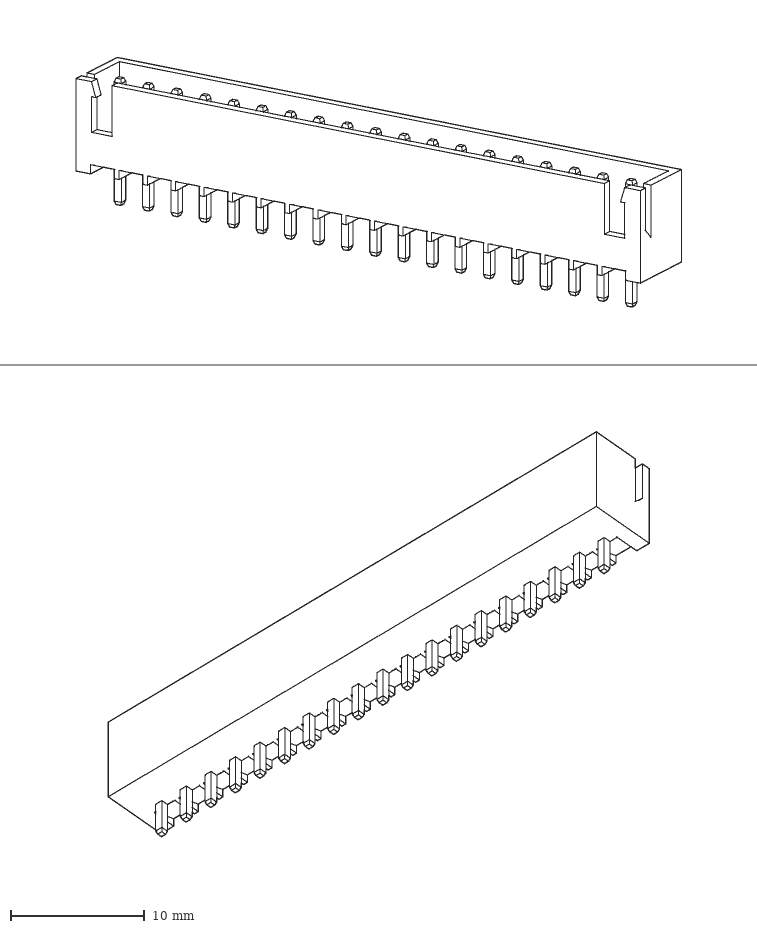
import cadquery as cq

PIN_COUNT = 19
PIN_PITCH = 2.5
PIN_WIDTH = 0.64
PIN_TAIL = 2.91
PIN_TOP_GAP = 0.24
PIN_TIP_HEIGHT = 0.3
PIN_TIP_INSET = 0.11

BODY_LENGTH = 49.67
BODY_DEPTH = 5.84
BODY_HEIGHT = 7.3
PIN_TO_FRONT = 2.47
LONG_WALL = 0.77
END_WALL = 0.67
FLOOR = 1.6

WINDOW_END_GAP = 1.37
WINDOW_WIDTH = 1.8
WINDOW_DEPTH = 4.0
BARB_HEIGHT = 1.2
BARB_REACH = 0.37

SLOT_WIDTH = 0.77
SLOT_DEPTH = 4.15

RELIEF_WIDTH = 2.1
RELIEF_FRONT_HEIGHT = 0.73
RELIEF_REAR_HEIGHT = 0.1

FRONT_Y = -PIN_TO_FRONT
BACK_Y = FRONT_Y + BODY_DEPTH
END_X = BODY_LENGTH / 2
PIN_POSITIONS = [(i - (PIN_COUNT - 1) / 2) * PIN_PITCH for i in range(PIN_COUNT)]


def box(x_min, x_max, y_min, y_max, z_min, z_max):
    """Axis-aligned block between the given limits."""
    size = (x_max - x_min, y_max - y_min, z_max - z_min)
    return cq.Workplane("XY").box(*size, centered=False).translate((x_min, y_min, z_min))


def both_ends(left_shape):
    """The left-hand shape joined with its mirror image at the right-hand end."""
    return left_shape.union(left_shape.mirror("YZ"))


def make_shell():
    """Open-topped rectangular tray."""
    outer = box(-END_X, END_X, FRONT_Y, BACK_Y, 0, BODY_HEIGHT)
    inner_x = END_X - END_WALL
    cavity = box(-inner_x, inner_x, FRONT_Y + LONG_WALL, BACK_Y - LONG_WALL, FLOOR, BODY_HEIGHT)
    return outer.cut(cavity)


def make_windows():
    """Rectangular openings from the rim down, through the front wall near each end."""
    x_min = -END_X + WINDOW_END_GAP
    x_max = x_min + WINDOW_WIDTH
    z_min = BODY_HEIGHT - WINDOW_DEPTH
    return both_ends(box(x_min, x_max, FRONT_Y, FRONT_Y + LONG_WALL, z_min, BODY_HEIGHT))


def make_barbs():
    """Latch barbs on the outer edge of each window, growing from the rim down to a flat ledge."""
    edge_x = -END_X + WINDOW_END_GAP
    ledge_z = BODY_HEIGHT - BARB_HEIGHT
    barb = (
        cq.Workplane("XZ", origin=(0, FRONT_Y, 0))
        .moveTo(edge_x, BODY_HEIGHT)
        .lineTo(edge_x + BARB_REACH, ledge_z)
        .lineTo(edge_x, ledge_z)
        .close()
        .extrude(-LONG_WALL)
    )
    return both_ends(barb)


def make_end_slots():
    """Vertical slots through both end walls, just behind the front wall."""
    y_min = FRONT_Y + LONG_WALL
    y_max = y_min + SLOT_WIDTH
    z_rear = BODY_HEIGHT - SLOT_DEPTH
    slot = (
        cq.Workplane("YZ", origin=(-END_X, 0, 0))
        .moveTo(y_min, BODY_HEIGHT)
        .lineTo(y_max, BODY_HEIGHT)
        .lineTo(y_max, z_rear)
        .lineTo(y_min, z_rear + SLOT_WIDTH)
        .close()
        .extrude(END_WALL)
    )
    return both_ends(slot)


def make_relief(x):
    """Tapered relief under the front edge, shallowest where it meets the pin."""
    rear_y = -PIN_WIDTH / 2
    return (
        cq.Workplane("YZ", origin=(x, 0, 0))
        .moveTo(FRONT_Y, 0)
        .lineTo(FRONT_Y, RELIEF_FRONT_HEIGHT)
        .lineTo(rear_y, RELIEF_REAR_HEIGHT)
        .lineTo(rear_y, 0)
        .close()
        .extrude(RELIEF_WIDTH / 2, both=True)
    )


def make_pin_tip(x, base_z, tip_z):
    """Pyramid frustum narrowing from the full pin section at base_z to tip_z."""
    return (
        cq.Workplane("XY", origin=(x, 0, base_z))
        .rect(PIN_WIDTH, PIN_WIDTH)
        .workplane(offset=tip_z - base_z)
        .rect(PIN_WIDTH - 2 * PIN_TIP_INSET, PIN_WIDTH - 2 * PIN_TIP_INSET)
        .loft(ruled=True)
    )


def make_pin(x):
    """Square pin with tapered tips at both ends."""
    half = PIN_WIDTH / 2
    top_z = BODY_HEIGHT - PIN_TOP_GAP
    shaft_top = top_z - PIN_TIP_HEIGHT
    shaft_bottom = -PIN_TAIL + PIN_TIP_HEIGHT
    shaft = box(x - half, x + half, -half, half, shaft_bottom, shaft_top)
    upper_tip = make_pin_tip(x, shaft_top, top_z)
    lower_tip = make_pin_tip(x, shaft_bottom, -PIN_TAIL)
    return shaft.union(upper_tip).union(lower_tip)


housing = make_shell().cut(make_windows()).cut(make_end_slots()).union(make_barbs())
for pin_x in PIN_POSITIONS:
    housing = housing.cut(make_relief(pin_x))

result = housing
for pin_x in PIN_POSITIONS:
    result = result.union(make_pin(pin_x))